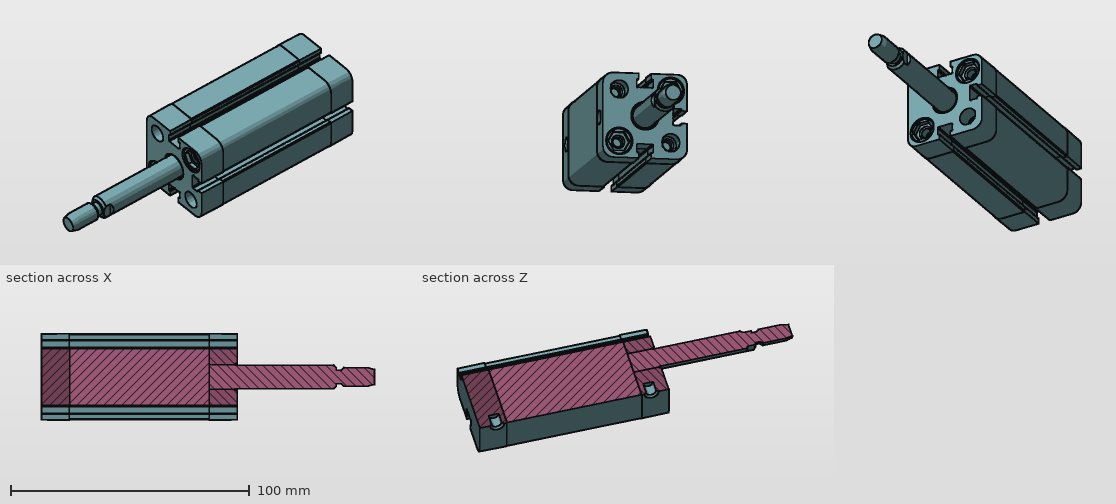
import cadquery as cq
import math


total_length = 139.6
cap_length = 11.7
barrel_length = 58.6
body_length = barrel_length + 2 * cap_length
rod_reach = total_length - body_length

cap_width = 36.3
barrel_width = 36.0
flat_width = 27.4
cap_draft = math.degrees(math.atan((cap_width - barrel_width) / 2 / cap_length))

slot_neck_width = 5.3
slot_inner_width = 7.1
slot_floor = 12.0
slot_neck_start = 15.6
slot_neck_bevel = 0.4
slot_floor_bevel = 0.4
barrel_slot_chamfer = 0.4
slot_angles = (0, 90, 180)

corner_pitch = 22.0
mount_hole_diameter = 7.5
mount_hole_depth = 7.0
screw_bore_diameter = 11.5
screw_bore_bottom = 10.5
screw_bore_depth = 0.5
socket_flats = 8.0
socket_depth = 2.5
core_diameter = 4.2
core_mouth_diameter = 5.6
core_depth = 4.2

port_diameter = 4.2
port_mouth_diameter = 5.9
port_depth = 5.6
port_inset = 7.5

rod_diameter = 10.0
ring_diameter = 12.0
ring_inner_diameter = 11.2
ring_chamfer_depth = 0.4
ring_depth = 0.8
rod_shoulder = 41.5
groove_end = 43.5
nose_length = 2.8
rod_chamfer = 1.1
thread_diameter = 8.0
groove_diameter = 5.9
nose_diameter = 6.4
thread_chamfer = (thread_diameter - groove_diameter) / 2
wrench_flats = 8.0
wrench_flat_start = 38.0


def front_plane(y):
    """Sketch plane across the rod axis: local x is X, local y is Z, normal is -Y."""
    return cq.Workplane("XZ", origin=(0, y, 0))


def rounded_square(y, width):
    """Square cross-section whose corner rounds leave the flat width on each side."""
    return front_plane(y).sketch().rect(width, width).vertices().fillet((width - flat_width) / 2).finalize()


def slot_cutter(mouth_chamfer):
    """Bar with the T-slot section, running the whole length of the body on the +Z side."""
    neck = slot_neck_width / 2
    inner = slot_inner_width / 2
    mouth_z = barrel_width / 2
    right = [
        (inner - slot_floor_bevel, slot_floor),
        (inner, slot_floor + slot_floor_bevel),
        (inner, slot_neck_start - slot_neck_bevel),
        (inner - slot_neck_bevel, slot_neck_start),
        (neck, slot_neck_start),
    ]
    if mouth_chamfer > 0:
        right += [(neck, mouth_z - mouth_chamfer), (neck + mouth_chamfer, mouth_z)]
    right.append((neck + mouth_chamfer, cap_width))
    left = [(-x, z) for x, z in reversed(right)]
    return front_plane(0).polyline(right + left).close().extrude(-body_length)


def cut_slots(body, mouth_chamfer=0):
    cutter = slot_cutter(mouth_chamfer)
    for angle in slot_angles:
        body = body.cut(cutter.rotate((0, 0, 0), (0, 1, 0), angle))
    return body


def bore(y, points, diameter, depth):
    """Round blind holes going into the body along +Y from the plane at y."""
    return front_plane(y).pushPoints(points).circle(diameter / 2).extrude(-depth)


def conical_bore(y, points, mouth_diameter, bottom_diameter, depth):
    """Conical recesses narrowing along +Y from the plane at y."""
    mouth = front_plane(y).pushPoints(points).circle(mouth_diameter / 2)
    slope = math.degrees(math.atan((mouth_diameter - bottom_diameter) / 2 / depth))
    return mouth.extrude(-depth, taper=slope)


def cut_core(cap, y, points):
    """Narrow blind hole with a 45 degree countersink, below a wider hole with its floor at y."""
    countersink_depth = (core_mouth_diameter - core_diameter) / 2
    cap = cap.cut(bore(y, points, core_diameter, core_depth))
    return cap.cut(conical_bore(y, points, core_mouth_diameter, core_diameter, countersink_depth))


def cut_port(cap, y):
    """Threaded-port hole with a conical mouth in the -X side."""
    mouth = (port_mouth_diameter - port_diameter) / 2
    side = -barrel_width / 2
    profile = [
        (side - mouth, 0), (side - mouth, port_mouth_diameter / 2 + mouth),
        (side + mouth, port_diameter / 2), (side + port_depth, port_diameter / 2), (side + port_depth, 0),
    ]
    port = cq.Workplane("XY").polyline(profile).close().revolve(360, (0, 0, 0), (1, 0, 0))
    return cap.cut(port.translate((0, y, 0)))


def make_barrel():
    barrel = rounded_square(cap_length, barrel_width).extrude(-barrel_length)
    return cut_slots(barrel, barrel_slot_chamfer)


def make_plain_cap(inner_y, direction):
    """Cap that narrows by the draft from the barrel outward; direction 1 runs to -Y."""
    cap = rounded_square(inner_y, cap_width).extrude(direction * cap_length, taper=cap_draft)
    return cut_slots(cap)


def make_front_cap():
    cap = make_plain_cap(cap_length, 1)
    cap = cut_port(cap, port_inset)

    axis = [(0, 0)]
    cap = cap.cut(bore(0, axis, rod_diameter, cap_length))
    cap = cap.cut(bore(0, axis, ring_inner_diameter, ring_depth))
    cap = cap.cut(conical_bore(0, axis, ring_diameter, ring_inner_diameter, ring_chamfer_depth))

    half = corner_pitch / 2
    mount_points = [(-half, half), (half, -half)]
    cap = cap.cut(bore(0, mount_points, mount_hole_diameter, mount_hole_depth))
    cap = cut_core(cap, mount_hole_depth, mount_points)

    screw_points = [(-half, -half), (half, half)]
    hexagon_diameter = socket_flats / math.cos(math.pi / 6)
    sockets = front_plane(0).pushPoints(screw_points).polygon(6, hexagon_diameter).extrude(-socket_depth)
    cap = cap.cut(conical_bore(0, screw_points, screw_bore_diameter, screw_bore_bottom, screw_bore_depth))
    cap = cap.cut(sockets)
    return cut_core(cap, socket_depth, screw_points)


def make_rear_cap():
    cap = make_plain_cap(cap_length + barrel_length, -1)
    return cut_port(cap, body_length - port_inset)


def make_rod():
    rod_radius = rod_diameter / 2
    thread_radius = thread_diameter / 2
    groove_radius = groove_diameter / 2
    profile = [
        (0, cap_length), (rod_radius, cap_length),
        (rod_radius, rod_chamfer - rod_shoulder), (rod_radius - rod_chamfer, -rod_shoulder),
        (groove_radius, -rod_shoulder), (groove_radius, -groove_end),
        (thread_radius, -groove_end - thread_chamfer), (thread_radius, nose_length - rod_reach),
        (nose_diameter / 2, -rod_reach), (0, -rod_reach),
    ]
    rod = cq.Workplane("XY").polyline(profile).close().revolve(360, (0, 0, 0), (0, 1, 0))

    step = (rod_diameter - wrench_flats) / 2
    flat_x = wrench_flats / 2
    flat = (
        cq.Workplane("XY")
        .polyline([
            (flat_x, -rod_shoulder), (flat_x, -wrench_flat_start),
            (flat_x + step, step - wrench_flat_start), (flat_x + step, -rod_shoulder),
        ])
        .close()
        .extrude(rod_radius, both=True)
    )
    return rod.cut(flat).cut(flat.mirror("YZ"))


barrel = make_barrel()
front_cap = make_front_cap()
rear_cap = make_rear_cap()
rod = make_rod()

result = cq.Compound.makeCompound([barrel.val(), front_cap.val(), rear_cap.val(), rod.val()])